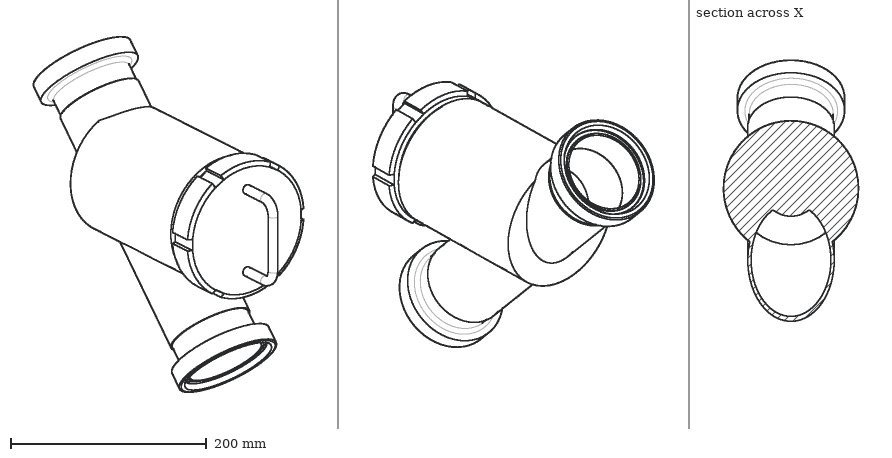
import cadquery as cq
import math


pipe_tilt = 45.0
pipe_length = 357.5
pipe_diameter = 89.0
pipe_bore = 81.0
ferrule_length = 43.7
ferrule_diameter = 86.0
ferrule_bore = 80.7
flange_diameter = 110.0
flange_thickness = 19.0
flange_edge_radial = 2.0
flange_edge_axial = 0.7
flange_root_diameter = 95.0
seat_mouth_diameter = 98.0
seat_floor_diameter = 93.0
seat_depth = 6.0
groove_depth = 8.2
lip_diameter = 85.0
lip_depth = 6.5

body_axis_height = 33.5
body_start = -52.0
body_end = 121.5
body_diameter = 138.3
collar_diameter = 124.8

nut_start = 128.5
nut_end = 159.0
nut_diameter = 148.0
nut_bevel_axial = 2.2
nut_bevel_radial = 5.0
slot_count = 6
slot_width = 12.5
slot_floor_radius = 68.8

ball_diameter = 115.5
ball_centre_x = -10.0

handle_rod_diameter = 10.0
handle_span = 90.5
handle_bend_radius = 15.0
part_length = 373.5
rim_start = flange_edge_axial - (pipe_length + flange_diameter) / 2
part_start = rim_start * math.cos(math.radians(pipe_tilt))
handle_end = part_start + part_length - handle_rod_diameter / 2


def cylinder_along_x(diameter, start, end):
    """Cylinder on the body axis between two X positions."""
    plane = cq.Workplane("YZ", origin=(start, 0, body_axis_height))
    return plane.circle(diameter / 2).extrude(end - start)


def tilt_from_x(shape):
    """Turn a shape built along X down onto the pipe axis."""
    return shape.rotate((0, 0, 0), (0, 1, 0), pipe_tilt)


def make_ferrule_blank():
    """Solid ferrule at the -X end of the untilted pipe."""
    face = -pipe_length / 2
    back = face + flange_thickness
    root_fillet = (flange_root_diameter - ferrule_diameter) / 2
    profile = (
        cq.Workplane("XZ")
        .moveTo(face, 0)
        .lineTo(face, flange_diameter / 2 - flange_edge_radial)
        .lineTo(face + flange_edge_axial, flange_diameter / 2)
        .lineTo(back, flange_diameter / 2)
        .lineTo(back, flange_root_diameter / 2)
        .radiusArc((back + root_fillet, ferrule_diameter / 2), -root_fillet)
        .lineTo(face + ferrule_length, ferrule_diameter / 2)
        .lineTo(face + ferrule_length, 0)
        .close()
    )
    return profile.revolve(360, (0, 0, 0), (1, 0, 0))


def make_ferrule_bore():
    """Seal seat, groove, lip and bore at the -X end of the untilted pipe."""
    face = -pipe_length / 2
    profile = (
        cq.Workplane("XZ")
        .moveTo(face, 0)
        .lineTo(face, seat_mouth_diameter / 2)
        .lineTo(face + seat_depth, seat_floor_diameter / 2)
        .lineTo(face + groove_depth, seat_floor_diameter / 2)
        .lineTo(face + groove_depth, lip_diameter / 2)
        .lineTo(face + lip_depth, lip_diameter / 2)
        .lineTo(face + lip_depth, ferrule_bore / 2)
        .lineTo(face + ferrule_length, ferrule_bore / 2)
        .lineTo(face + ferrule_length, 0)
        .close()
    )
    return profile.revolve(360, (0, 0, 0), (1, 0, 0))


def at_both_ends(shape):
    """Join a pipe end shape with its mirror image at the other end."""
    return shape.union(shape.mirror("YZ"))


def make_tube(diameter):
    """Middle stretch of the untilted pipe, between the ferrules."""
    length = pipe_length - 2 * ferrule_length
    plane = cq.Workplane("YZ", origin=(-length / 2, 0, 0))
    return plane.circle(diameter / 2).extrude(length)


def make_nut():
    """Ring nut with evenly spaced slots, the first ones facing +Y and -Y."""
    rim = nut_diameter / 2
    profile = (
        cq.Workplane("XZ")
        .moveTo(nut_start, 0)
        .lineTo(nut_start, rim - nut_bevel_radial)
        .lineTo(nut_start + nut_bevel_axial, rim)
        .lineTo(nut_end - nut_bevel_axial, rim)
        .lineTo(nut_end, rim - nut_bevel_radial)
        .lineTo(nut_end, 0)
        .close()
    )
    nut = profile.revolve(360, (0, 0, 0), (1, 0, 0)).translate((0, 0, body_axis_height))
    slot_depth = nut_diameter / 2
    slot = cq.Workplane("XY").box(nut_end - nut_start, slot_depth, slot_width)
    slot_middle = ((nut_start + nut_end) / 2, slot_floor_radius + slot_depth / 2, body_axis_height)
    slot = slot.translate(slot_middle)
    axis_start = (0, 0, body_axis_height)
    axis_end = (1, 0, body_axis_height)
    for index in range(slot_count):
        nut = nut.cut(slot.rotate(axis_start, axis_end, index * 360 / slot_count))
    return nut


def make_handle():
    """Round rod bent into a U, standing on the end face of the nut."""
    bend_start = handle_end - handle_bend_radius
    half_span = handle_span / 2
    bar_half = half_span - handle_bend_radius
    path = (
        cq.Workplane("XZ", origin=(0, 0, body_axis_height))
        .moveTo(nut_start, half_span)
        .lineTo(bend_start, half_span)
        .radiusArc((handle_end, bar_half), handle_bend_radius)
        .lineTo(handle_end, -bar_half)
        .radiusArc((bend_start, -half_span), handle_bend_radius)
        .lineTo(nut_start, -half_span)
    )
    rod = cq.Workplane("YZ", origin=(nut_start, 0, body_axis_height + half_span))
    return rod.circle(handle_rod_diameter / 2).sweep(path)


pipe = tilt_from_x(make_tube(pipe_diameter).union(at_both_ends(make_ferrule_blank())))
body = cylinder_along_x(body_diameter, body_start, body_end)
collar = cylinder_along_x(collar_diameter, body_end, nut_start)
outside = body.union(collar).union(make_nut()).union(make_handle()).union(pipe)

bore = tilt_from_x(make_tube(pipe_bore).union(at_both_ends(make_ferrule_bore())))
ball = cq.Workplane("XY").sphere(ball_diameter / 2).translate((ball_centre_x, 0, body_axis_height))

result = outside.cut(bore).union(ball)